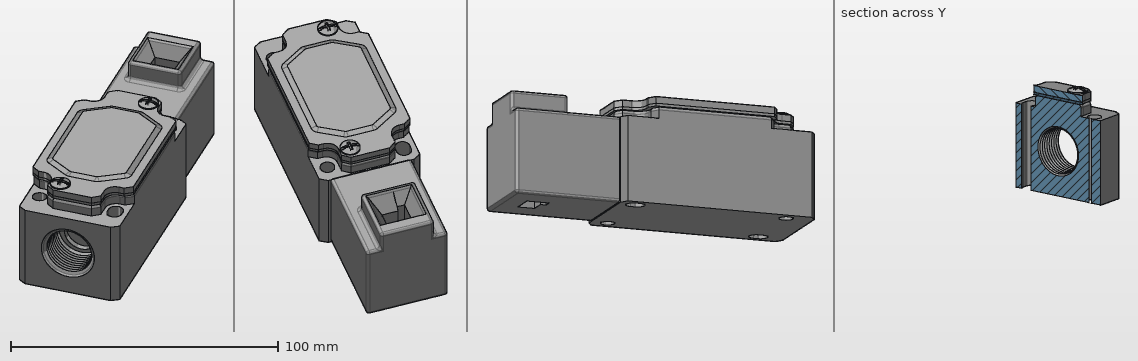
import cadquery as cq
import math

TOTAL_LENGTH = 118.6
HALF_WIDTH = 40.0 / 2

HOUSING_LENGTH = 77.3
LEDGE_Z = 33.0
CORNER_X = 3.0
CORNER_Y = 1.9
PLINTH_TOP = 37.6
PLINTH_FILLET = 1.4
PLINTH_NOTCH_EXTRA = 1.13

COVER_CENTER_Y = 40.6
COVER_HALF_LENGTH = 35.8
NOTCH_X = 30.0 / 2
NOTCH_Y = 60.1 / 2
NOTCH_RADIUS = 4.4
NOTCH_FLARE_X = HALF_WIDTH - CORNER_X
NOTCH_SIDE_Y = 23.6
END_CHAMFER_X = 3.0
END_CHAMFER_Y = 2.3

GASKET_TOP = 38.7
COVER_TOP = 41.3
PANEL_RISE = 0.77
PANEL_INSET = 2.1
PANEL_HALF_WIDTH = 16.7
PANEL_HALF_LENGTH = 25.1
PANEL_END_HALF_WIDTH = 5.9
PANEL_SIDE_HALF_LENGTH = 18.3
PANEL_CORNER_RADIUS = 3.2

HOLE_DIAMETER = 5.5
SLOT_WIDTH = 5.7
SLOT_LENGTH = 7.4

BORE_Z = 17.5
MOUTH_RADIUS = 10.5
THREAD_MINOR_RADIUS = 8.9
THREAD_MAJOR_RADIUS = 10.0
THREAD_PITCH = 1.4
THREAD_TURNS = 9
MOUTH_DEPTH = 0.7
BORE_DEPTH = MOUTH_DEPTH + THREAD_PITCH * (THREAD_TURNS + 1)
PILOT_RADIUS = 6.8
PILOT_Z = 16.8
PILOT_DEPTH = 2.4

HEAD_HALF_WIDTH = 16.0
HEAD_BOTTOM = 0.5
HEAD_TOP = 33.3
EDGE_FILLET = 1.13
TURRET_BASE_FILLET = 1.5
TURRET_FRONT_Y = 95.8
TURRET_HALF_WIDTH = 10.5
TURRET_TOP = 41.3

TOLERANCE = 0.01

RIM_CHAMFER = 0.7
RIM_HALF_WIDTH = 18.1 / 2
RIM_FRONT_Y = 97.4
RIM_BACK_Y = 113.9
SHAFT_HALF_WIDTH = 4.9
SHAFT_FRONT_Y = 101.3
SHAFT_BACK_Y = 110.2
SHAFT_STEP_Y = 103.5
SHAFT_STEP_X = -1.5
FUNNEL_DEPTH = 5.7

SCREW_X = 6.4
SCREW_Y = 31.1
SCREW_RADIUS = 3.8
SCREW_RIM = 0.5
SCREW_DOME = 1.1
SLOT_CUT_WIDTH = 1.1
SLOT_CUT_DEPTH = 1.0
CROSS_LENGTH = 3.9
CROSS_WIDTH = 1.0
CROSS_DEPTH = 1.3


def cover_plate(bottom, top, notch_extra=0.0):
    """Rectangular plate with a rounded notch around each mounting hole."""
    height = top - bottom
    straight_y = NOTCH_Y - notch_extra
    arc_bottom = straight_y - NOTCH_RADIUS
    arc_edge_x = NOTCH_X - NOTCH_RADIUS
    diagonal = NOTCH_RADIUS * math.sqrt(0.5)
    end_x = arc_edge_x - END_CHAMFER_X
    chamfer_y = COVER_HALF_LENGTH - END_CHAMFER_Y
    quarter = (
        cq.Workplane("XY", origin=(0, COVER_CENTER_Y, bottom))
        .lineTo(HALF_WIDTH, 0)
        .lineTo(HALF_WIDTH, NOTCH_SIDE_Y - notch_extra)
        .lineTo(NOTCH_FLARE_X, arc_bottom)
        .lineTo(NOTCH_X, arc_bottom)
        .threePointArc((NOTCH_X - diagonal, straight_y - diagonal), (arc_edge_x, straight_y))
        .lineTo(arc_edge_x, chamfer_y)
        .lineTo(end_x, COVER_HALF_LENGTH)
        .lineTo(0, COVER_HALF_LENGTH)
        .close()
        .extrude(height)
    )
    half = quarter.union(quarter.mirror("YZ"))
    return half.union(half.mirror("XZ", (0, COVER_CENTER_Y, 0))).clean()


def conduit_entry():
    """Blind bore with ring-shaped thread grooves, a conical mouth and an eccentric pilot recess."""
    profile = cq.Workplane("XY").lineTo(MOUTH_RADIUS, 0).lineTo(THREAD_MAJOR_RADIUS, MOUTH_DEPTH)
    for turn in range(THREAD_TURNS):
        start = MOUTH_DEPTH + turn * THREAD_PITCH
        profile = profile.lineTo(THREAD_MINOR_RADIUS, start + THREAD_PITCH / 2)
        profile = profile.lineTo(THREAD_MAJOR_RADIUS, start + THREAD_PITCH)
    profile = profile.lineTo(THREAD_MINOR_RADIUS, BORE_DEPTH).lineTo(0, BORE_DEPTH).close()
    bore = profile.revolve(360, (0, 0, 0), (0, 1, 0)).translate((0, 0, BORE_Z))
    pilot = (
        cq.Workplane("XZ", origin=(0, 0, PILOT_Z))
        .circle(PILOT_RADIUS)
        .extrude(-(BORE_DEPTH + PILOT_DEPTH))
    )
    return bore.union(pilot)


def mounting_holes():
    """Two round holes and two slots, each pair diagonally opposite."""
    low_y = COVER_CENTER_Y - NOTCH_Y
    high_y = COVER_CENTER_Y + NOTCH_Y
    round_holes = (
        cq.Workplane("XY")
        .pushPoints([(-NOTCH_X, low_y), (NOTCH_X, high_y)])
        .circle(HOLE_DIAMETER / 2)
        .extrude(LEDGE_Z)
    )
    slots = (
        cq.Workplane("XY")
        .pushPoints([(NOTCH_X, low_y), (-NOTCH_X, high_y)])
        .slot2D(SLOT_LENGTH, SLOT_WIDTH, 90)
        .extrude(LEDGE_Z)
    )
    return round_holes.union(slots)


def make_housing():
    """Box with bevelled upright corners, carrying the plinth that the gasket rests on."""
    inner_x = HALF_WIDTH - CORNER_X
    back_y = HOUSING_LENGTH - CORNER_Y
    base = (
        cq.Workplane("XY")
        .polyline([
            (-inner_x, 0),
            (inner_x, 0),
            (HALF_WIDTH, CORNER_Y),
            (HALF_WIDTH, back_y),
            (inner_x, HOUSING_LENGTH),
            (-inner_x, HOUSING_LENGTH),
            (-HALF_WIDTH, back_y),
            (-HALF_WIDTH, CORNER_Y),
        ])
        .close()
        .extrude(LEDGE_Z)
    )
    plinth = cover_plate(LEDGE_Z, PLINTH_TOP, PLINTH_NOTCH_EXTRA)
    plinth = plinth.faces(">Z").edges().fillet(PLINTH_FILLET)
    return base.union(plinth).cut(mounting_holes()).cut(conduit_entry())


def make_cover():
    """Cover plate with a slope-sided octagonal panel."""
    plate = cover_plate(GASKET_TOP, COVER_TOP)
    right_corners = [
        (PANEL_END_HALF_WIDTH, PANEL_HALF_LENGTH),
        (PANEL_HALF_WIDTH, PANEL_SIDE_HALF_LENGTH),
        (PANEL_HALF_WIDTH, -PANEL_SIDE_HALF_LENGTH),
        (PANEL_END_HALF_WIDTH, -PANEL_HALF_LENGTH),
    ]
    left_corners = [(-x, -y) for x, y in right_corners]
    corners = right_corners + left_corners
    outline = cq.Sketch().polygon(corners + corners[:1]).vertices().fillet(PANEL_CORNER_RADIUS)
    slope_angle = math.degrees(math.atan2(PANEL_INSET, PANEL_RISE))
    panel = (
        cq.Workplane("XY", origin=(0, COVER_CENTER_Y, COVER_TOP))
        .placeSketch(outline)
        .extrude(PANEL_RISE, taper=slope_angle)
    )
    return plate.union(panel)


def key_section(z, half_width, front_y, back_y):
    """Rectangular wire of the key entry at one height."""
    return cq.Wire.makePolygon(
        [
            cq.Vector(-half_width, front_y, z),
            cq.Vector(half_width, front_y, z),
            cq.Vector(half_width, back_y, z),
            cq.Vector(-half_width, back_y, z),
        ],
        close=True,
    )


def key_entry():
    """Chamfered rim, funnel and shaft, with one side of the front wall stepped forward."""
    throat_z = TURRET_TOP - RIM_CHAMFER
    throat_half_width = RIM_HALF_WIDTH - RIM_CHAMFER
    throat_front_y = RIM_FRONT_Y + RIM_CHAMFER
    shaft_z = TURRET_TOP - FUNNEL_DEPTH
    rim = key_section(TURRET_TOP, RIM_HALF_WIDTH, RIM_FRONT_Y, RIM_BACK_Y)
    throat = key_section(throat_z, throat_half_width, throat_front_y, RIM_BACK_Y - RIM_CHAMFER)
    shaft_top = key_section(shaft_z, SHAFT_HALF_WIDTH, SHAFT_FRONT_Y, SHAFT_BACK_Y)
    shaft_bottom = key_section(HEAD_BOTTOM, SHAFT_HALF_WIDTH, SHAFT_FRONT_Y, SHAFT_BACK_Y)
    entry = cq.Workplane(cq.Solid.makeLoft([rim, throat], True))
    for upper, lower in [(throat, shaft_top), (shaft_top, shaft_bottom)]:
        entry = entry.union(cq.Workplane(cq.Solid.makeLoft([upper, lower], True)))
    ramp = (
        cq.Workplane("YZ", origin=(SHAFT_STEP_X, 0, 0))
        .polyline([
            (RIM_FRONT_Y, HEAD_BOTTOM),
            (RIM_FRONT_Y, throat_z),
            (throat_front_y, throat_z),
            (SHAFT_STEP_Y, shaft_z),
            (SHAFT_STEP_Y, HEAD_BOTTOM),
        ])
        .close()
        .extrude(RIM_HALF_WIDTH - SHAFT_STEP_X)
    )
    return entry.cut(ramp)


def is_turret_base(edge):
    """True for the edges where the turret walls stand on the block."""
    box = edge.BoundingBox()
    level = abs(box.zmin - HEAD_TOP) < TOLERANCE and abs(box.zmax - HEAD_TOP) < TOLERANCE
    under_turret = max(abs(box.xmin), abs(box.xmax)) < TURRET_HALF_WIDTH + TOLERANCE
    return level and under_turret and box.ymin > TURRET_FRONT_Y - TOLERANCE


def make_head():
    """Rounded block with a turret at its free end, pierced by the key entry."""
    block_length = TOTAL_LENGTH - HOUSING_LENGTH
    turret_length = TOTAL_LENGTH - TURRET_FRONT_Y
    block = (
        cq.Workplane("XY", origin=(0, HOUSING_LENGTH + block_length / 2, HEAD_BOTTOM))
        .rect(2 * HEAD_HALF_WIDTH, block_length)
        .extrude(HEAD_TOP - HEAD_BOTTOM)
    )
    turret = (
        cq.Workplane("XY", origin=(0, TURRET_FRONT_Y + turret_length / 2, HEAD_BOTTOM))
        .rect(2 * TURRET_HALF_WIDTH, turret_length)
        .extrude(TURRET_TOP - HEAD_BOTTOM)
    )
    body = block.union(turret)
    joint_edges = body.faces("<Y").edges().vals()
    rounded_edges = [
        edge
        for edge in body.edges().vals()
        if not is_turret_base(edge) and not any(edge.isSame(joint) for joint in joint_edges)
    ]
    body = body.newObject(rounded_edges).fillet(EDGE_FILLET)
    base_edges = [edge for edge in body.edges().vals() if is_turret_base(edge)]
    return body.newObject(base_edges).fillet(TURRET_BASE_FILLET).cut(key_entry())


def make_screw(x, y):
    """Domed head with a full slot crossed by a recess."""
    shoulder_z = COVER_TOP + SCREW_RIM
    top_z = shoulder_z + SCREW_DOME
    dome_radius = (SCREW_RADIUS**2 + SCREW_DOME**2) / (2 * SCREW_DOME)
    dome = cq.Workplane("XY", origin=(0, 0, top_z - dome_radius)).sphere(dome_radius)
    screw = (
        cq.Workplane("XY", origin=(0, 0, COVER_TOP))
        .circle(SCREW_RADIUS)
        .extrude(SCREW_RIM + SCREW_DOME)
        .intersect(dome)
    )
    top_plane = cq.Workplane("XY", origin=(0, 0, top_z))
    slot = top_plane.rect(2 * SCREW_RADIUS, SLOT_CUT_WIDTH).extrude(-SLOT_CUT_DEPTH)
    cross = top_plane.rect(CROSS_LENGTH, CROSS_WIDTH).extrude(-CROSS_DEPTH)
    cross = cross.union(cross.rotate((0, 0, 0), (0, 0, 1), 90))
    return screw.cut(slot).cut(cross).translate((x, y, 0))


housing = make_housing()
head = make_head()
gasket = cover_plate(PLINTH_TOP, GASKET_TOP)
cover = make_cover()
screws = [
    make_screw(side * SCREW_X, COVER_CENTER_Y + side * SCREW_Y)
    for side in (-1, 1)
]
result = cq.Compound.makeCompound(
    [housing.val(), head.val(), gasket.val(), cover.val(), *[screw.val() for screw in screws]]
)